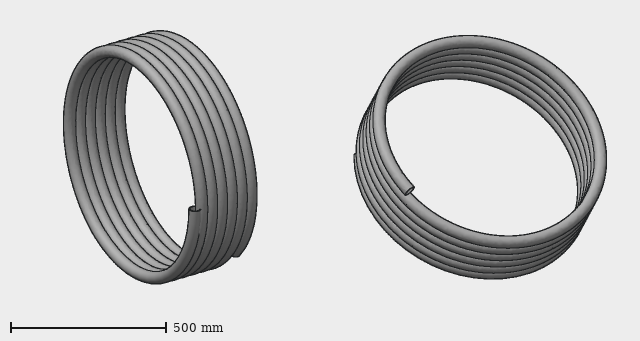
import cadquery as cq

coil_diameter = 790.0
tube_diameter = 40.0
wall = 4.0
coil_depth = 260.0
flat_angle = 120.0
full_turns = 6
extra_angle = 43.2

center_radius = (coil_diameter - tube_diameter) / 2
bore_diameter = tube_diameter - 2 * wall
helix_turns = full_turns + (extra_angle - flat_angle) / 360
helix_rise = coil_depth - tube_diameter
pitch = helix_rise / helix_turns

origin = cq.Vector(0, 0, 0)
x_axis = cq.Vector(1, 0, 0)
z_axis = cq.Vector(0, 0, 1)


def section_circle(diameter):
    """Circle in the radial plane through +X, centred on the tube's centre line."""
    return cq.Wire.makeCircle(diameter / 2, cq.Vector(center_radius, 0, 0), cq.Vector(0, 1, 0))


def split_faces(solid):
    """Curved wall faces and flat end faces of a bent bar."""
    walls = [face for face in solid.Faces() if face.geomType() != "PLANE"]
    ends = [face for face in solid.Faces() if face.geomType() == "PLANE"]
    return walls, ends


def coil_walls(diameter):
    """Walls of the flat arc and the helix about Z, with the coil's first and last end faces."""
    arc = cq.Solid.revolve(section_circle(diameter), [], flat_angle, origin, z_axis)
    helix_path = cq.Wire.makeHelix(pitch, helix_rise, center_radius)
    helix = cq.Solid.sweep(section_circle(diameter), [], helix_path, isFrenet=True)
    helix = helix.rotate(origin, z_axis, flat_angle)
    arc_walls, arc_ends = split_faces(arc)
    helix_walls, helix_ends = split_faces(helix)
    first_end = min(arc_ends, key=lambda face: abs(face.Center().y))
    last_end = max(helix_ends, key=lambda face: face.Center().z)
    return arc_walls + helix_walls, [first_end, last_end]


def tube():
    """Hollow coil sewn from its outer wall, bore and ring ends; neighbouring turns press together."""
    outer_walls, outer_ends = coil_walls(tube_diameter)
    bore_walls, bore_ends = coil_walls(bore_diameter)
    rings = [
        cq.Face.makeFromWires(outer.outerWire(), [bore.outerWire()])
        for outer, bore in zip(outer_ends, bore_ends)
    ]
    return cq.Solid.makeSolid(cq.Shell.makeShell(outer_walls + bore_walls + rings))


coil_axis_turn = -90
result = cq.Workplane(tube().rotate(origin, x_axis, coil_axis_turn))